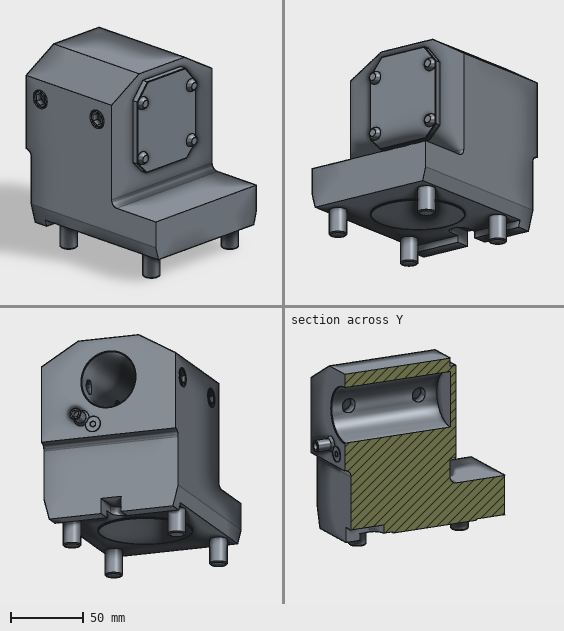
import cadquery as cq
import math


width = 100.0
half_width = width / 2
base_length = 121.0
base_height = 28.8
tower_length = 78.0
body_height = 120.0
overhang = 5.0
overhang_z = 49.7
corner_radius = 5.0
roof_half_width = 22.5
roof_angle = 30
lip_length = 11.2
lip_depth = 5.0
taper_top = 9.7
taper_angle = 15

bore_diameter = 40.0
bore_z = 89.9
bore_chamfer = 0.5

clamp_x = (8.9, 63.9)
clamp_hole_diameter = 13.5
clamp_groove_depth = 0.7
clamp_groove_diameter = 12.2
clamp_face_diameter = 10.8
clamp_hex_flats = 7.7
clamp_hex_depth = 4.8
clamp_hex_floor_slope = 30
cross_hole_diameter = 10.1
cross_hole_depth = 6.9

slot_width = 15.0
slot_top = 6.0
slot_end = 25.9

pattern_x = 65.8
disc_diameter = 66.0
disc_height = 1.0
disc_chamfer = 0.5
bolt_diameter = 12.3
bolt_length = 18.1
bolt_chamfer = 0.8
bolt_spacing_x = 80.2
bolt_spacing_y = 78.0

cover_thickness = 4.7
cover_chamfer = 0.4
cover_half_width = 28.9
cover_top = 114.1
cover_bottom = 46.8
cover_top_corner = (10.1, 12.3)
cover_bottom_corner = (9.0, 9.0)
cover_screw_y = 24.2
cover_screw_z = (59.1, 100.0)
cover_head_diameter = 9.4
cover_head_height = 3.2
cover_head_tip_diameter = 5.3

nozzle_y = 20.0
nozzle_z = 63.9
nozzle_length = 12.3
nozzle_diameter = 8.2
nozzle_chamfer = 0.4
nozzle_bore_diameter = 5.1
nozzle_bore_depth = 4.2
flare_diameter = 11.2
flare_length = 2.1
plug_y = 11.5
plug_z = 58.8
plug_diameter = 11.0
plug_height = 0.5
plug_hex_flats = 3.7

front_x = -overhang
embed = 1.4


def side_profile():
    """Outline in XZ, extruded over the full width."""
    arc = corner_radius * math.sqrt(0.5)
    outline = (
        cq.Workplane("XZ")
        .moveTo(0, -lip_depth)
        .lineTo(lip_length, -lip_depth)
        .lineTo(lip_length, 0)
        .lineTo(base_length, 0)
        .lineTo(base_length, base_height)
        .lineTo(tower_length + corner_radius, base_height)
        .threePointArc(
            (tower_length + corner_radius - arc, base_height + corner_radius - arc),
            (tower_length, base_height + corner_radius),
        )
        .lineTo(tower_length, body_height)
        .lineTo(front_x, body_height)
        .lineTo(front_x, overhang_z)
        .threePointArc((front_x + arc, overhang_z - corner_radius + arc), (0, overhang_z - corner_radius))
        .close()
    )
    return outline.extrude(half_width, both=True)


def end_profile():
    """Outline in YZ that gives the sloping roof and the tapered foot."""
    roof_drop = (half_width - roof_half_width) * math.tan(math.radians(roof_angle))
    foot_inset = (taper_top + lip_depth) * math.tan(math.radians(taper_angle))
    half_outline = [
        (half_width - foot_inset, -lip_depth),
        (half_width, taper_top),
        (half_width, body_height - roof_drop),
        (roof_half_width, body_height),
    ]
    other_half = [(-y, z) for y, z in reversed(half_outline)]
    outline = cq.Workplane("YZ", origin=(front_x, 0, 0)).polyline(half_outline + other_half).close()
    return outline.extrude(base_length + overhang)


def rod(diameter, length, start, direction):
    return cq.Workplane(cq.Solid.makeCylinder(diameter / 2, length, cq.Vector(*start), cq.Vector(*direction)))


def cone(start_diameter, end_diameter, length, start, direction):
    return cq.Workplane(
        cq.Solid.makeCone(start_diameter / 2, end_diameter / 2, length, cq.Vector(*start), cq.Vector(*direction))
    )


def hex_socket(plane, origin, flats, depth):
    """Hexagonal pocket tool with two corners pointing up and down."""
    corner_diameter = flats / math.cos(math.radians(30))
    sketch = cq.Workplane(plane, origin=origin).transformed(rotate=(0, 0, 90))
    return sketch.polygon(6, corner_diameter).extrude(-depth)


def bore():
    straight = rod(bore_diameter, tower_length + overhang, (front_x, 0, bore_z), (1, 0, 0))
    mouth_diameter = bore_diameter + 2 * bore_chamfer
    mouth = cone(mouth_diameter, bore_diameter, bore_chamfer, (front_x, 0, bore_z), (1, 0, 0))
    return straight.union(mouth)


def clamp_screw_cut(x):
    """V-shaped groove around the screw face and the hexagonal socket with its pointed floor."""
    start = (x, -half_width, bore_z)
    groove = cone(clamp_hole_diameter, clamp_groove_diameter, clamp_groove_depth, start, (0, 1, 0))
    face = cone(clamp_face_diameter, clamp_groove_diameter, clamp_groove_depth, start, (0, 1, 0))
    socket = hex_socket("XZ", start, clamp_hex_flats, clamp_hex_depth)
    floor_start = (x, clamp_hex_depth - half_width, bore_z)
    floor_height = clamp_hex_flats / 2 * math.tan(math.radians(clamp_hex_floor_slope))
    floor = cone(clamp_hex_flats, 0, floor_height, floor_start, (0, 1, 0))
    return groove.cut(face).union(socket).union(floor)


def cross_hole(x):
    """Hole leading sideways out of the bore, opposite a clamping screw."""
    return rod(cross_hole_diameter, bore_diameter / 2 + cross_hole_depth, (x, 0, bore_z), (0, 1, 0))


def key_slot():
    """Round-ended slot running in from the front face."""
    depth = slot_top + lip_depth
    straight_length = slot_end - slot_width / 2
    straight = cq.Workplane("XY").box(straight_length, slot_width, depth, centered=(False, True, False))
    straight = straight.translate((0, 0, -lip_depth))
    return straight.union(rod(slot_width, depth, (straight_length, 0, -lip_depth), (0, 0, 1)))


def locating_disc():
    disc = rod(disc_diameter, disc_height + embed, (pattern_x, 0, -disc_height), (0, 0, 1))
    return disc.faces("<Z").chamfer(disc_chamfer)


def bolts():
    bolt = rod(bolt_diameter, bolt_length + embed, (0, 0, -bolt_length), (0, 0, 1))
    bolt = bolt.faces("<Z").chamfer(bolt_chamfer)
    places = cq.Workplane("XY", origin=(pattern_x, 0, 0)).rarray(bolt_spacing_x, bolt_spacing_y, 2, 2)
    return places.eachpoint(lambda place: bolt.val().moved(place), combine=True)


def cover_screw_head():
    """Domed head with a flat tip, standing on the origin and pointing along X."""
    base_radius = cover_head_diameter / 2
    tip_radius = cover_head_tip_diameter / 2
    centre = (tip_radius**2 + cover_head_height**2 - base_radius**2) / (2 * cover_head_height)
    sphere_radius = math.hypot(base_radius, centre)
    middle = cover_head_height / 2
    middle_radius = math.sqrt(sphere_radius**2 - (middle - centre) ** 2)
    half_section = (
        cq.Workplane("XY")
        .lineTo(0, base_radius)
        .threePointArc((middle, middle_radius), (cover_head_height, tip_radius))
        .lineTo(cover_head_height, 0)
        .close()
    )
    return half_section.revolve(360, (0, 0, 0), (1, 0, 0))


def cover():
    """Eight-sided plate closing the rear of the bore, with four screw heads."""
    top_y, top_z = cover_top_corner
    bottom_y, bottom_z = cover_bottom_corner
    half_outline = [
        (cover_half_width - bottom_y, cover_bottom),
        (cover_half_width, cover_bottom + bottom_z),
        (cover_half_width, cover_top - top_z),
        (cover_half_width - top_y, cover_top),
    ]
    other_half = [(-y, z) for y, z in reversed(half_outline)]
    plate = cq.Workplane("YZ", origin=(tower_length, 0, 0)).polyline(half_outline + other_half).close()
    plate = plate.extrude(cover_thickness).faces(">X").chamfer(cover_chamfer)
    for y in (-cover_screw_y, cover_screw_y):
        for z in cover_screw_z:
            plate = plate.union(cover_screw_head().translate((tower_length + cover_thickness, y, z)))
    return plate


def nozzle():
    tip_x = front_x - nozzle_length
    stem = rod(nozzle_diameter, nozzle_length + embed, (tip_x, nozzle_y, nozzle_z), (1, 0, 0))
    stem = stem.faces("<X").chamfer(nozzle_chamfer)
    flare = cone(flare_diameter, nozzle_diameter, flare_length, (front_x, nozzle_y, nozzle_z), (-1, 0, 0))
    hole = rod(nozzle_bore_diameter, nozzle_bore_depth, (tip_x, nozzle_y, nozzle_z), (1, 0, 0))
    return stem.union(flare).cut(hole)


def plug():
    face_x = front_x - plug_height
    disc = rod(plug_diameter, plug_height + embed, (face_x, plug_y, plug_z), (1, 0, 0))
    socket_floor = (front_x, plug_y, plug_z)
    return disc.cut(hex_socket("YZ", socket_floor, plug_hex_flats, plug_height))


body = side_profile().intersect(end_profile())
body = body.cut(bore()).cut(key_slot())
for clamp in clamp_x:
    body = body.cut(clamp_screw_cut(clamp)).cut(cross_hole(clamp))

result = body.union(locating_disc()).union(bolts()).union(cover()).union(nozzle()).union(plug())